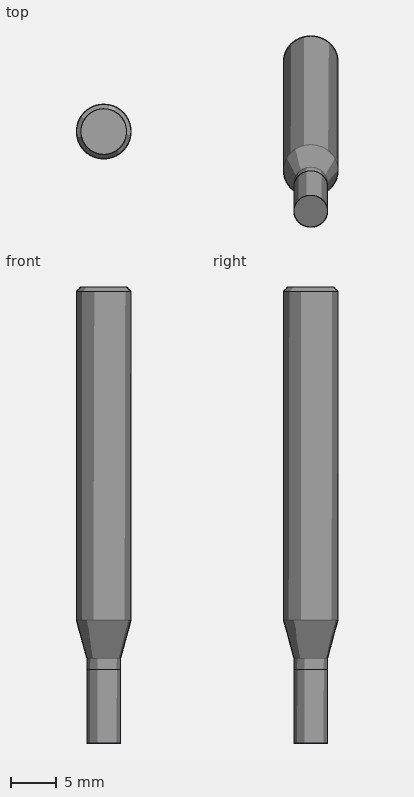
import cadquery as cq

total_length = 50.0
shank_diameter = 6.0
end_chamfer = 0.5

head_diameter = 3.7
head_length = 8.1
neck_top = 9.3
taper_top = 13.5

shank_radius = shank_diameter / 2
tip_radius = head_diameter / 2


def make_head():
    """Plain cylindrical cutting head at the lower end."""
    return cq.Workplane("XY").circle(tip_radius).extrude(head_length)


def make_shank():
    """Turned shank: short neck, conical taper, cylinder and chamfered upper end."""
    return (
        cq.Workplane("XZ")
        .moveTo(0, head_length)
        .lineTo(tip_radius, head_length)
        .lineTo(tip_radius, neck_top)
        .lineTo(shank_radius, taper_top)
        .lineTo(shank_radius, total_length - end_chamfer)
        .lineTo(shank_radius - end_chamfer, total_length)
        .lineTo(0, total_length)
        .close()
        .revolve(360, (0, 0, 0), (0, 1, 0))
    )


head = make_head()
shank = make_shank()

result = cq.Compound.makeCompound([head.val(), shank.val()])